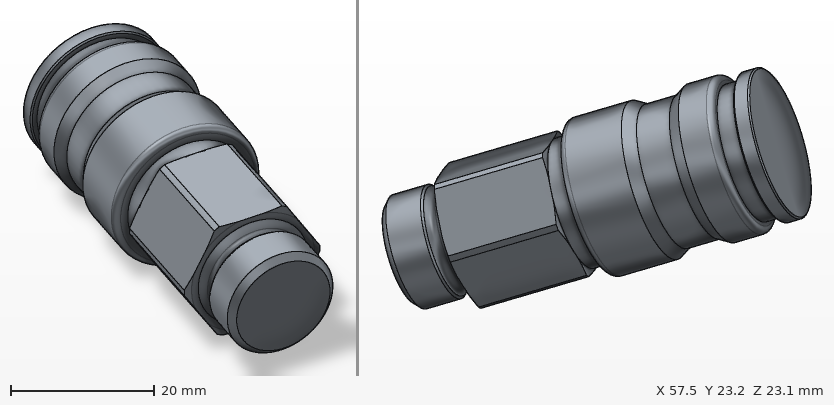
import cadquery as cq
import math


flange_end = 2.45
sleeve_start = 5.3
sleeve_end = 28.7
hex_start = 31.3
hex_end = 48.3
core_end = 57.45

flange_dia = 22.0
neck_dia = 20.05
shank_dia = 18.95
thread_dia = 16.65
flange_chamfer = 0.25

across_flats = 18.95
hex_sides = 6
hex_corner_dia = 21.4
hex_face_dia = 19.35
hex_face_angle = 15.0
hex_roll_angle = 1.4

undercut_mouth_dia = 17.25
undercut_cone_angle = 45.0
undercut_radius = 1.0
undercut_edge_dia = 16.0
undercut_root_dia = 14.75
thread_end_chamfer = 1.0

sleeve_dia = 23.15
sleeve_edge_radius = 1.0
grip_dia = 21.0
grip_start = 12.35
grip_end = 17.35
grip_flank_angle = 30.0


def revolve_about_x(profile):
    return profile.close().revolve(360, (0, 0, 0), (1, 0, 0))


def make_closed_end():
    """Flange, neck and shank, up to the hexagon."""
    flange_r = flange_dia / 2
    return revolve_about_x(
        cq.Workplane("XY")
        .lineTo(0, flange_r - flange_chamfer)
        .lineTo(flange_chamfer, flange_r)
        .lineTo(flange_end - flange_chamfer, flange_r)
        .lineTo(flange_end, flange_r - flange_chamfer)
        .lineTo(flange_end, neck_dia / 2)
        .lineTo(sleeve_start, neck_dia / 2)
        .lineTo(sleeve_start, shank_dia / 2)
        .lineTo(hex_start, shank_dia / 2)
        .lineTo(hex_start, 0)
    )


def make_hexagon():
    """Hexagonal prism with turned corners and both end faces chamfered."""
    across_corners = across_flats / math.cos(math.pi / hex_sides)
    prism = (
        cq.Workplane("YZ", origin=(hex_start, 0, 0))
        .polygon(hex_sides, across_corners)
        .extrude(hex_end - hex_start)
        .rotate((0, 0, 0), (1, 0, 0), hex_roll_angle)
    )
    corner_r = hex_corner_dia / 2
    face_r = hex_face_dia / 2
    chamfer_length = (corner_r - face_r) * math.tan(math.radians(hex_face_angle))
    turned_blank = revolve_about_x(
        cq.Workplane("XY")
        .moveTo(hex_start, 0)
        .lineTo(hex_start, face_r)
        .lineTo(hex_start + chamfer_length, corner_r)
        .lineTo(hex_end - chamfer_length, corner_r)
        .lineTo(hex_end, face_r)
        .lineTo(hex_end, 0)
    )
    return prism.intersect(turned_blank)


def make_threaded_end():
    """Undercut and plain thread cylinder beyond the hexagon."""
    mouth_r = undercut_mouth_dia / 2
    edge_r = undercut_edge_dia / 2
    root_r = undercut_root_dia / 2
    thread_r = thread_dia / 2

    centre_r = root_r + undercut_radius
    cone_angle = math.radians(undercut_cone_angle)
    tangent_r = centre_r - undercut_radius * math.cos(cone_angle)
    tangent_x = hex_end + (mouth_r - tangent_r) / math.tan(cone_angle)
    centre_x = tangent_x + undercut_radius * math.sin(cone_angle)
    edge_x = centre_x + math.sqrt(undercut_radius**2 - (centre_r - edge_r) ** 2)
    thread_start = edge_x + thread_r - edge_r

    return revolve_about_x(
        cq.Workplane("XY")
        .moveTo(hex_end, 0)
        .lineTo(hex_end, mouth_r)
        .lineTo(tangent_x, tangent_r)
        .threePointArc((centre_x, root_r), (edge_x, edge_r))
        .lineTo(thread_start, thread_r)
        .lineTo(core_end - thread_end_chamfer, thread_r)
        .lineTo(core_end, thread_r - thread_end_chamfer)
        .lineTo(core_end, 0)
    )


def make_core():
    return make_closed_end().union(make_hexagon()).union(make_threaded_end()).solids()


def make_sleeve():
    """Ring around the shank with rounded ends and a waisted finger grip."""
    outer_r = sleeve_dia / 2
    grip_r = grip_dia / 2
    bore_r = shank_dia / 2

    flank_length = (outer_r - grip_r) / math.tan(math.radians(grip_flank_angle))

    ring = revolve_about_x(
        cq.Workplane("XY")
        .moveTo(sleeve_start, bore_r)
        .lineTo(sleeve_start, outer_r)
        .lineTo(grip_start - flank_length, outer_r)
        .lineTo(grip_start, grip_r)
        .lineTo(grip_end, grip_r)
        .lineTo(grip_end + flank_length, outer_r)
        .lineTo(sleeve_end, outer_r)
        .lineTo(sleeve_end, bore_r)
    )
    end_rims = cq.selectors.RadiusNthSelector(-1)
    ring = ring.faces("<X").edges(end_rims).fillet(sleeve_edge_radius)
    return ring.faces(">X").edges(end_rims).fillet(sleeve_edge_radius)


core = make_core()
sleeve = make_sleeve()

result = cq.Compound.makeCompound([core.val(), sleeve.val()])